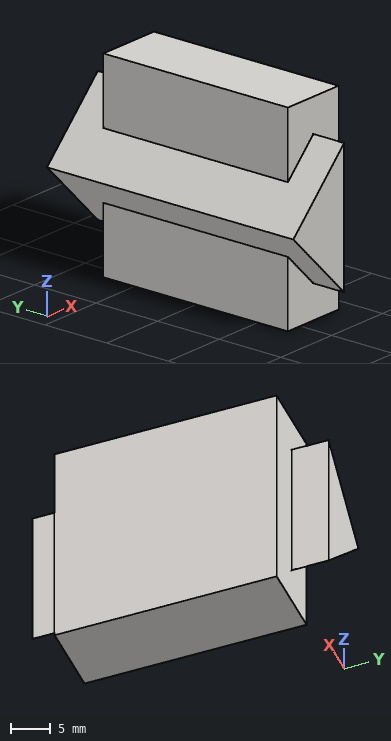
import cadquery as cq

bar_length = 40.0
bar_depth = 10.0
bar_height = 2 * bar_depth

block_width = 10.0
block_length = 30.0
block_height = 30.0
block_front_x = bar_depth / 2


def make_bar():
    """Triangular prism centred on Y and Z, with its sharp edge at X = 0."""
    return (
        cq.Workplane("XZ")
        .moveTo(0, 0)
        .lineTo(bar_depth, bar_height / 2)
        .lineTo(bar_depth, -bar_height / 2)
        .close()
        .extrude(bar_length / 2, both=True)
    )


def make_block(bar):
    """Block centred on Y and Z, with the seat of the bar cut through it."""
    block = cq.Workplane("XY").box(
        block_width, block_length, block_height, centered=(False, True, True)
    )
    return block.translate((block_front_x, 0, 0)).cut(bar)


bar = make_bar()
block = make_block(bar)

result = cq.Compound.makeCompound([bar.val(), *block.solids().vals()])